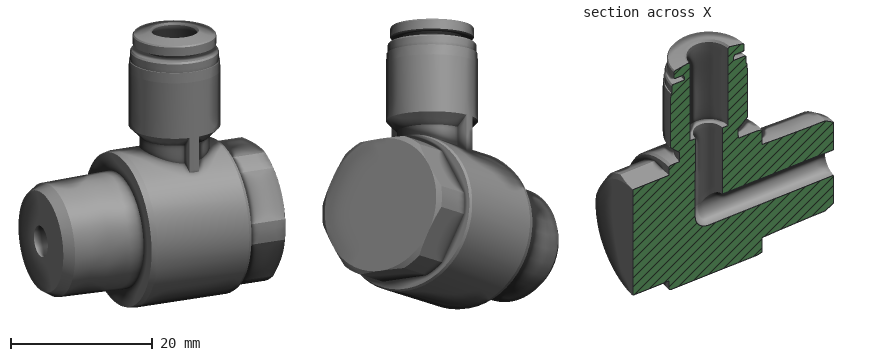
import cadquery as cq
import math


tail_y = 12.8
body_back_y = 6.75
body_front_y = -8.9
nose_y = -20.9

body_diameter = 22.5
body_radius = body_diameter / 2
face_edge_drop = 0.2
back_bevel_length = 0.45
front_bevel_length = 0.87

thread_root_radius = 8.45
thread_tip_radius = 8.15
nose_radius = 7.3
nose_bevel_length = 1.43

hex_flats = 19.1
hex_corner_diameter = 20.5
hex_bevel_drop = 0.7
hex_bevel_length = 0.4

top_z = 39.6 - body_radius
crown_edge_z = top_z - 0.45
collar_edge_z = top_z - 0.65
collar_base_z = top_z - 1.9
neck_flare_z = collar_base_z - 0.35
sleeve_top_z = top_z - 2.77
sleeve_edge_z = sleeve_top_z - 0.25
sleeve_base_z = top_z - 4.28
housing_top_z = top_z - 5.75
housing_base_z = 14.37
stem_top_z = 12.85

collar_radius = 11.8 / 2
collar_edge_drop = 0.15
neck_radius = 8.35 / 2
neck_flare = 0.2
sleeve_radius = 12.5 / 2
sleeve_edge_drop = 0.2
housing_radius = 13.0 / 2
housing_top_radius = housing_radius - 0.08
stem_radius = 4.95

rib_thickness = 1.5

flow_radius = 4.5 / 2
tube_radius = 6.35 / 2
tube_bevel = 0.28
tube_seat_z = 14.25


def make_body_and_thread():
    """Swivel body and tapered thread as one turned profile along Y."""
    edge_radius = body_radius - face_edge_drop
    profile = (
        cq.Workplane("XY")
        .moveTo(0, body_back_y)
        .lineTo(edge_radius, body_back_y)
        .lineTo(body_radius, body_back_y - back_bevel_length)
        .lineTo(body_radius, body_front_y + front_bevel_length)
        .lineTo(edge_radius, body_front_y)
        .lineTo(thread_root_radius, body_front_y)
        .lineTo(thread_tip_radius, nose_y + nose_bevel_length)
        .lineTo(nose_radius, nose_y)
        .lineTo(0, nose_y)
        .close()
    )
    return profile.revolve(360, (0, 0, 0), (0, 1, 0))


def make_hexagon():
    """Hexagon with turned corners, a bevelled end and flats facing up and down."""
    corner_span = hex_flats / math.cos(math.pi / 6)
    length = tail_y - body_back_y
    prism = (
        cq.Workplane("XZ", origin=(0, tail_y, 0))
        .polygon(6, corner_span)
        .extrude(length)
    )
    corner_radius = hex_corner_diameter / 2
    turned_blank = (
        cq.Workplane("XY")
        .moveTo(0, body_back_y)
        .lineTo(corner_radius, body_back_y)
        .lineTo(corner_radius, tail_y - hex_bevel_length)
        .lineTo(corner_radius - hex_bevel_drop, tail_y)
        .lineTo(0, tail_y)
        .close()
        .revolve(360, (0, 0, 0), (0, 1, 0))
    )
    return prism.intersect(turned_blank)


def make_port():
    """Stem, housing, sleeve, neck and crowned release collar turned about Z."""
    socket_rim_radius = tube_radius + tube_bevel
    crown_radius = collar_radius - collar_edge_drop
    profile = (
        cq.Workplane("XZ")
        .lineTo(stem_radius, 0)
        .lineTo(stem_radius, stem_top_z)
        .lineTo(housing_radius, housing_base_z)
        .lineTo(housing_radius, housing_top_z)
        .lineTo(housing_top_radius, sleeve_base_z)
        .lineTo(sleeve_radius, sleeve_base_z)
        .lineTo(sleeve_radius, sleeve_edge_z)
        .lineTo(sleeve_radius - sleeve_edge_drop, sleeve_top_z)
        .lineTo(neck_radius, sleeve_top_z)
        .lineTo(neck_radius, neck_flare_z)
        .lineTo(neck_radius + neck_flare, collar_base_z)
        .lineTo(collar_radius, collar_base_z)
        .lineTo(collar_radius, collar_edge_z)
        .lineTo(crown_radius, crown_edge_z)
        .lineTo(socket_rim_radius, top_z)
        .lineTo(0, top_z)
        .close()
    )
    return profile.revolve(360, (0, 0, 0), (0, 1, 0))


def make_ribs():
    """Flat web with rounded ends that stand out flush with the housing as ribs."""
    web = cq.Workplane("XY").box(
        2 * housing_radius, rib_thickness, housing_base_z, centered=(True, True, False)
    )
    housing_outline = cq.Workplane("XY").circle(housing_radius).extrude(housing_base_z)
    return web.intersect(housing_outline)


def make_bores():
    """Flow bores joined by a spherical elbow, and the stepped tube socket."""
    inlet = cq.Workplane("XZ").circle(flow_radius).extrude(-nose_y)
    elbow = cq.Workplane("XY").sphere(flow_radius)
    riser = cq.Workplane("XY").circle(flow_radius).extrude(top_z)
    socket = (
        cq.Workplane("XZ")
        .moveTo(0, tube_seat_z)
        .lineTo(tube_radius, tube_seat_z)
        .lineTo(tube_radius, top_z - tube_bevel)
        .lineTo(tube_radius + tube_bevel, top_z)
        .lineTo(0, top_z)
        .close()
        .revolve(360, (0, 0, 0), (0, 1, 0))
    )
    return inlet.union(elbow).union(riser).union(socket)


outside = make_body_and_thread().union(make_hexagon()).union(make_port()).union(make_ribs())
result = outside.cut(make_bores()).clean()